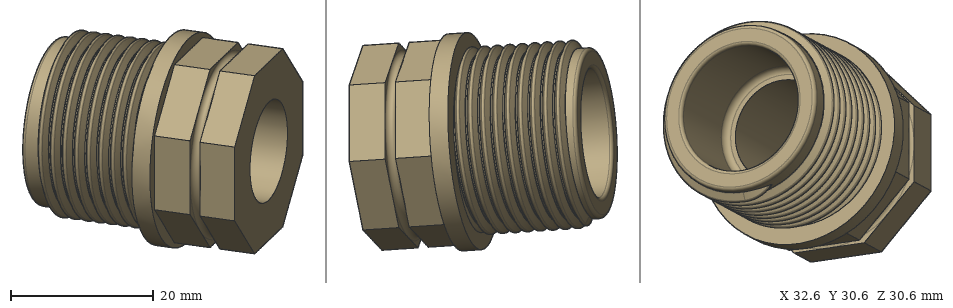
import cadquery as cq
import math

total_length = 32.6
flange_start = 17.83
flange_end = 20.55
groove_centre = 26.65

spigot_radius = 12.05
spigot_edge_fillet = 0.52
flange_radius = 15.32

head_sides = 8
head_across_flats = 26.93
groove_radius = 0.75

bore_radius = 9.13
bore_mouth_fillet = 0.5
shoulder_fillet = 0.98
shoulder_depth = 13.0
outlet_radius = 7.4

crest_radius = 13.27
crest_rounding = 0.25
flank_angle = 27.5
root_rounding = 0.15
root_sink = 0.03
base_depth = 0.15
first_crest = 1.92
last_crest = 17.35
half_turns_between = 17
pitch = 2 * (last_crest - first_crest) / half_turns_between
thread_turns = 9.5
lead_in_radius = 5.38
lead_in_sweep = 60.0


def make_spigot():
    """Solid core of the spigot with a rounded front edge."""
    return (
        cq.Workplane("YZ")
        .circle(spigot_radius)
        .extrude(flange_end)
        .faces("<X")
        .edges()
        .fillet(spigot_edge_fillet)
    )


def make_flange():
    """Round flange between the thread and the head."""
    return (
        cq.Workplane("YZ", origin=(flange_start, 0, 0))
        .circle(flange_radius)
        .extrude(flange_end - flange_start)
    )


def make_head():
    """Octagonal head with flats square to Y and Z."""
    half_side_angle = 180.0 / head_sides
    across_corners = head_across_flats / math.cos(math.radians(half_side_angle))
    return (
        cq.Workplane("YZ", origin=(flange_end, 0, 0))
        .transformed(rotate=(0, 0, half_side_angle))
        .polygon(head_sides, across_corners)
        .extrude(total_length - flange_end)
    )


def make_groove():
    """Ring that cuts a groove with a semicircular floor and straight walls around the head."""
    floor_centre = head_across_flats / 2
    front = groove_centre - groove_radius
    back = groove_centre + groove_radius
    return (
        cq.Workplane("XY")
        .moveTo(front, flange_radius)
        .lineTo(front, floor_centre)
        .threePointArc((groove_centre, floor_centre - groove_radius), (back, floor_centre))
        .lineTo(back, flange_radius)
        .close()
        .revolve(360, (0, 0, 0), (1, 0, 0))
    )


def make_bore():
    """Bore with a rounded mouth and a filleted shoulder down to the smaller outlet."""
    diagonal = 1 - math.sqrt(0.5)
    mouth_mid = (bore_mouth_fillet * diagonal, bore_radius + bore_mouth_fillet * diagonal)
    shoulder_mid = (
        shoulder_depth - shoulder_fillet * diagonal,
        bore_radius - shoulder_fillet * diagonal,
    )
    return (
        cq.Workplane("XY")
        .moveTo(0, 0)
        .lineTo(0, bore_radius + bore_mouth_fillet)
        .threePointArc(mouth_mid, (bore_mouth_fillet, bore_radius))
        .lineTo(shoulder_depth - shoulder_fillet, bore_radius)
        .threePointArc(shoulder_mid, (shoulder_depth, bore_radius - shoulder_fillet))
        .lineTo(shoulder_depth, outlet_radius)
        .lineTo(total_length, outlet_radius)
        .lineTo(total_length, 0)
        .close()
        .revolve(360, (0, 0, 0), (1, 0, 0))
    )


def ridge_profile():
    """Section of the thread straight below the axis: rounded crest, straight flanks, flared roots."""
    flank = math.radians(flank_angle)
    mid_turn = (math.pi / 2 + flank) / 2
    half_crest = crest_rounding * math.cos(flank)
    crest_edge = crest_radius - crest_rounding * (1 - math.sin(flank))
    root_radius = spigot_radius - root_sink
    root_edge = root_radius + root_rounding * (1 - math.sin(flank))
    half_flank_foot = half_crest + (crest_edge - root_edge) * math.tan(flank)
    half_root = half_flank_foot + root_rounding * math.cos(flank)
    half_root_mid = half_root - root_rounding * math.cos(mid_turn)
    root_mid = root_radius + root_rounding * (1 - math.sin(mid_turn))
    base_radius = spigot_radius - base_depth
    return (
        cq.Workplane("XZ", origin=(first_crest, 0, 0))
        .moveTo(-half_root, -base_radius)
        .lineTo(-half_root, -root_radius)
        .threePointArc((-half_root_mid, -root_mid), (-half_flank_foot, -root_edge))
        .lineTo(-half_crest, -crest_edge)
        .threePointArc((0, -crest_radius), (half_crest, -crest_edge))
        .lineTo(half_flank_foot, -root_edge)
        .threePointArc((half_root_mid, -root_mid), (half_root, -root_radius))
        .lineTo(half_root, -base_radius)
        .close()
    )


def make_ridge():
    """Helical ridge, climbing from the lowest point toward +Y and ending inside the flange."""
    helix = cq.Wire.makeHelix(pitch, thread_turns * pitch, spigot_radius)
    path = cq.Workplane(helix).rotate((0, 0, 0), (0, 1, 0), 90).translate((first_crest, 0, 0))
    return ridge_profile().sweep(path, isFrenet=True)


def make_lead_in():
    """Start of the thread: the ridge bends inward on the -Y side until it sinks into the spigot."""
    bend_axis_z = lead_in_radius - crest_radius
    return ridge_profile().revolve(lead_in_sweep, (0.33, bend_axis_z, 0), (0, bend_axis_z, 0))


threaded_spigot = make_spigot().union(make_ridge(), clean=False).union(make_lead_in(), clean=False)
outside = threaded_spigot.union(make_flange()).union(make_head())
result = outside.cut(make_groove()).cut(make_bore())